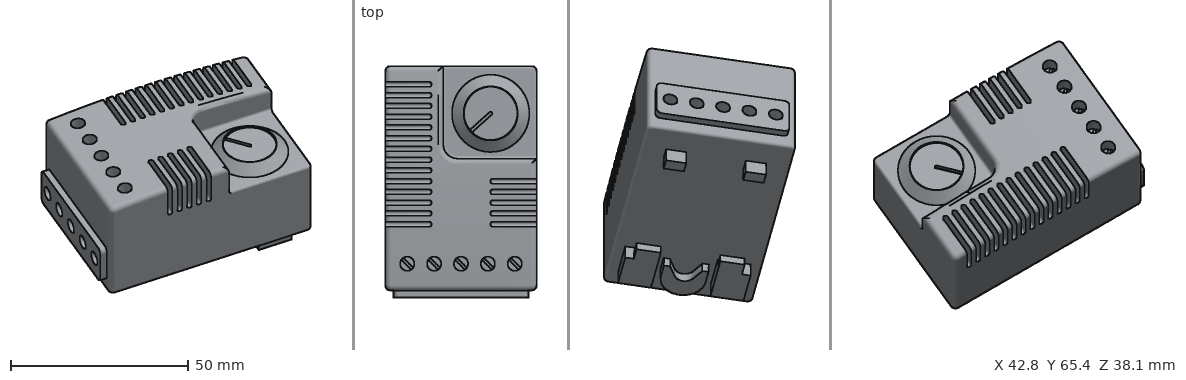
import cadquery as cq
import math


WIDTH = 42.8
OVERALL_LENGTH = 65.4
PLATE_THICKNESS = 2.0
LENGTH = OVERALL_LENGTH - PLATE_THICKNESS
OVERALL_HEIGHT = 38.1
FOOT_HEIGHT = 4.45
CROWN_HEIGHT = OVERALL_HEIGHT - FOOT_HEIGHT
CROWN_DROP = 1.5
EDGE_RADIUS = 1.5
BASE_RADIUS = 0.9
SIDE = WIDTH / 2
END = LENGTH / 2
CROWN_RADIUS = (END**2 + CROWN_DROP**2) / (2 * CROWN_DROP)

RECESS_X = -5.0
RECESS_Y = 5.55
RECESS_FLOOR = 24.4
RECESS_CORNER = 4.0
RECESS_FLOOR_FILLET = 0.8
RECESS_RIM_FILLET = 0.8

DIAL_X = 8.4
DIAL_Y = 18.3
DIAL_BASE_RADIUS = 10.9
DIAL_TOP_RADIUS = 7.65
DIAL_HEIGHT = 2.9
DIAL_RIM_WIDTH = 0.1
DIAL_RIM_HEIGHT = 0.5
POINTER_WIDTH = 0.9
POINTER_DEPTH = 1.5
POINTER_ANGLE = 42

SLOT_WIDTH = 1.45
SLOT_LENGTH = 13.1
SLOT_DEPTH = 10.0
FIRST_SLOT_Y = 26.5
LAST_SLOT_Y = -12.95
LEFT_SLOTS = 14
RIGHT_SLOTS = 5

TERMINALS = 5
TERMINAL_PITCH = 7.6
TERMINAL_DIAMETER = 4.0
SCREW_Y = -24.15
SCREW_DEPTH = 5.0
DRIVER_SLOT_WIDTH = 0.8
DRIVER_SLOT_DEPTH = 0.5
DRIVER_SLOT_ANGLE = -45
WIRE_HOLE_DEPTH = 5.0
PLATE_WIDTH = 38.2
PLATE_HEIGHT = 12.05
PLATE_Z = 9.8
PLATE_FACE_Y = -END - PLATE_THICKNESS

FOOT_INNER_X = 8.6
FRONT_FOOT_OUTER_X = 14.4
FRONT_FOOT_Y = -23.6
FRONT_FOOT_LENGTH = 3.35
HOOK_REACH = 0.7
HOOK_DEPTH = 1.95
HOOK_LIP = 1.05
REAR_FOOT_OUTER_X = 18.05
REAR_FOOT_Y = 16.5
REAR_FOOT_LENGTH = 10.3
TONGUE_OUTER_X = 15.6
TONGUE_LENGTH = 3.85

LATCH_RADIUS = 6.4
LATCH_HEIGHT = 2.9
LATCH_REAR_Y = 29.55
LATCH_FRONT_Y = 19.0
LATCH_DRAFT = 3
NOTCH_RADIUS = 3.1
NOTCH_MOUTH = 9.3
NOTCH_FLARE = math.radians(30)


def crown_z(y):
    """Height of the crowned top at distance y from mid-length."""
    return CROWN_HEIGHT - CROWN_RADIUS + math.sqrt(CROWN_RADIUS**2 - y**2)


def box(x0, x1, y0, y1, z0, z1):
    block = cq.Workplane("XY").box(x1 - x0, y1 - y0, z1 - z0, centered=False)
    return block.translate((x0, y0, z0))


def cylinder(start, direction, length, radius):
    solid = cq.Solid.makeCylinder(radius, length, cq.Vector(*start), cq.Vector(*direction))
    return cq.Workplane(solid)


def make_housing():
    """Crowned block with the dial recess cut from its back right corner."""
    shoulder = CROWN_HEIGHT - CROWN_DROP
    block = (
        cq.Workplane("YZ", origin=(-SIDE, 0, 0))
        .moveTo(-END, 0)
        .lineTo(END, 0)
        .lineTo(END, shoulder)
        .threePointArc((0, CROWN_HEIGHT), (-END, shoulder))
        .close()
        .extrude(WIDTH)
    )
    block = block.edges("|Z").fillet(EDGE_RADIUS)

    recess = box(RECESS_X, WIDTH, RECESS_Y, LENGTH, RECESS_FLOOR, WIDTH)
    block = block.cut(recess.edges("|Z and <X and <Y").fillet(RECESS_CORNER))

    crown = block.faces("%CYLINDER").faces(">Z")
    block = crown.edges().fillet(EDGE_RADIUS)
    open_sides = [edge for edge in recess_floor(block).edges().vals() if on_outside(edge)]
    block = block.newObject(open_sides).fillet(RECESS_RIM_FILLET)
    walled_sides = [edge for edge in recess_floor(block).edges().vals() if beside_wall(edge)]
    block = block.newObject(walled_sides).fillet(RECESS_FLOOR_FILLET)
    return block.faces("<Z").edges().fillet(BASE_RADIUS)


def recess_floor(block):
    return block.faces(cq.selectors.NearestToPointSelector((DIAL_X, DIAL_Y, RECESS_FLOOR)))


def on_outside(edge):
    middle = edge.Center()
    return middle.x > SIDE - EDGE_RADIUS or middle.y > END - EDGE_RADIUS


def beside_wall(edge):
    middle = edge.Center()
    corner_x = RECESS_X + RECESS_CORNER
    corner_y = RECESS_Y + RECESS_CORNER
    return middle.x < corner_x or middle.y < corner_y


def make_dial():
    """Conical knob with a sunken face and a pointer groove from its centre to its rim."""
    cone = cq.Workplane(cq.Solid.makeCone(DIAL_BASE_RADIUS, DIAL_TOP_RADIUS, DIAL_HEIGHT))
    face_z = DIAL_HEIGHT - DIAL_RIM_HEIGHT
    face_radius = DIAL_TOP_RADIUS - DIAL_RIM_WIDTH
    face_recess = cylinder((0, 0, face_z), (0, 0, 1), DIAL_HEIGHT, face_radius)
    groove = (
        cq.Workplane("XY", origin=(-DIAL_TOP_RADIUS / 2, 0, face_z - POINTER_DEPTH))
        .slot2D(DIAL_TOP_RADIUS + POINTER_WIDTH, POINTER_WIDTH)
        .extrude(POINTER_DEPTH)
        .intersect(face_recess.translate((0, 0, -POINTER_DEPTH)))
        .rotate((0, 0, 0), (0, 0, 1), POINTER_ANGLE)
    )
    return cone.cut(face_recess).cut(groove).translate((DIAL_X, DIAL_Y, RECESS_FLOOR))


def make_slot(y):
    """Cutter through the left shoulder, at constant depth below the crown.

    Its floor and its end wall are fully rounded.
    """
    radius = SLOT_WIDTH / 2
    end_x = -SIDE + SLOT_LENGTH - radius
    floor_z = crown_z(y) - SLOT_DEPTH + radius
    corner = (end_x, y, floor_z)
    walls = box(-WIDTH, end_x, y - radius, y + radius, floor_z, WIDTH)
    floor = cylinder(corner, (-1, 0, 0), WIDTH, radius)
    end_wall = cylinder(corner, (0, 0, 1), WIDTH, radius)
    ball = cq.Workplane("XY").sphere(radius).translate(corner)
    return walls.union(floor).union(end_wall).union(ball)


def cut_slots(body):
    pitch = (FIRST_SLOT_Y - LAST_SLOT_Y) / (LEFT_SLOTS - 1)
    for i in range(LEFT_SLOTS):
        cutter = make_slot(LAST_SLOT_Y + i * pitch)
        body = body.cut(cutter)
        if i < RIGHT_SLOTS:
            body = body.cut(cutter.mirror("YZ"))
    return body


def make_terminal_plate():
    half_width = PLATE_WIDTH / 2
    bottom = PLATE_Z - PLATE_HEIGHT / 2
    top = PLATE_Z + PLATE_HEIGHT / 2
    plate = box(-half_width, half_width, PLATE_FACE_Y, -END, bottom, top)
    return plate.edges("|Y").fillet(EDGE_RADIUS)


def cut_terminals(body):
    """Wire holes in the plate and, above them, screw holes with a driver slot in each seat."""
    radius = TERMINAL_DIAMETER / 2
    screw_z = crown_z(SCREW_Y) - SCREW_DEPTH
    for i in range(TERMINALS):
        x = (i - (TERMINALS - 1) / 2) * TERMINAL_PITCH
        driver_slot = (
            cq.Workplane("XY", origin=(x, SCREW_Y, screw_z - DRIVER_SLOT_DEPTH))
            .transformed(rotate=(0, 0, DRIVER_SLOT_ANGLE))
            .rect(2 * TERMINAL_DIAMETER, DRIVER_SLOT_WIDTH)
            .extrude(SCREW_DEPTH)
        )
        screw_hole = cylinder((x, SCREW_Y, screw_z), (0, 0, 1), 2 * SCREW_DEPTH, radius)
        screw_seat = cylinder((x, SCREW_Y, screw_z - DRIVER_SLOT_DEPTH), (0, 0, 1), SCREW_DEPTH, radius)
        wire_hole = cylinder((x, PLATE_FACE_Y, PLATE_Z), (0, 1, 0), WIRE_HOLE_DEPTH, radius)
        body = body.cut(screw_hole).cut(driver_slot.intersect(screw_seat)).cut(wire_hole)
    return body


def make_feet():
    """Front hook and rear foot with its tongue on the left, mirrored to the right."""
    front_inner_y = FRONT_FOOT_Y + FRONT_FOOT_LENGTH
    hook = (
        cq.Workplane("YZ", origin=(-FRONT_FOOT_OUTER_X, 0, 0))
        .polyline([
            (FRONT_FOOT_Y, 0),
            (FRONT_FOOT_Y, -FOOT_HEIGHT),
            (front_inner_y, -FOOT_HEIGHT),
            (front_inner_y + HOOK_REACH, -HOOK_DEPTH - HOOK_LIP),
            (front_inner_y + HOOK_REACH, -HOOK_DEPTH),
            (front_inner_y, -HOOK_DEPTH),
            (front_inner_y, 0),
        ])
        .close()
        .extrude(FRONT_FOOT_OUTER_X - FOOT_INNER_X)
    )
    rear_back_y = REAR_FOOT_Y + REAR_FOOT_LENGTH
    rear = box(-REAR_FOOT_OUTER_X, -FOOT_INNER_X, REAR_FOOT_Y, rear_back_y, -FOOT_HEIGHT, 0)
    tongue_y = REAR_FOOT_Y - TONGUE_LENGTH
    tongue = box(-TONGUE_OUTER_X, -FOOT_INNER_X, tongue_y, REAR_FOOT_Y, -FOOT_HEIGHT, -HOOK_DEPTH)
    left = hook.union(rear).union(tongue)
    return left.union(left.mirror("YZ"))


def make_latch():
    """Drafted horseshoe with a flared, round-ended notch open to the front."""
    outer = (
        cq.Workplane("XY")
        .moveTo(-LATCH_RADIUS, LATCH_FRONT_Y)
        .lineTo(-LATCH_RADIUS, LATCH_REAR_Y - LATCH_RADIUS)
        .threePointArc((0, LATCH_REAR_Y), (LATCH_RADIUS, LATCH_REAR_Y - LATCH_RADIUS))
        .lineTo(LATCH_RADIUS, LATCH_FRONT_Y)
        .close()
        .extrude(LATCH_HEIGHT, taper=-LATCH_DRAFT)
    )
    mouth_x = NOTCH_MOUTH / 2
    tangent_x = NOTCH_RADIUS * math.cos(NOTCH_FLARE)
    tangent_y = LATCH_FRONT_Y + (mouth_x - tangent_x) / math.tan(NOTCH_FLARE)
    notch_end_y = tangent_y + NOTCH_RADIUS * (1 - math.sin(NOTCH_FLARE))
    notch = (
        cq.Workplane("XY")
        .moveTo(-mouth_x, LATCH_FRONT_Y)
        .lineTo(-tangent_x, tangent_y)
        .threePointArc((0, notch_end_y), (tangent_x, tangent_y))
        .lineTo(mouth_x, LATCH_FRONT_Y)
        .lineTo(mouth_x, LATCH_FRONT_Y - LATCH_RADIUS)
        .lineTo(-mouth_x, LATCH_FRONT_Y - LATCH_RADIUS)
        .close()
        .extrude(LATCH_HEIGHT)
    )
    return outer.cut(notch).translate((0, 0, -LATCH_HEIGHT))


body = cut_slots(make_housing())
body = body.union(make_dial()).union(make_terminal_plate())
body = cut_terminals(body)
result = body.union(make_feet()).union(make_latch())